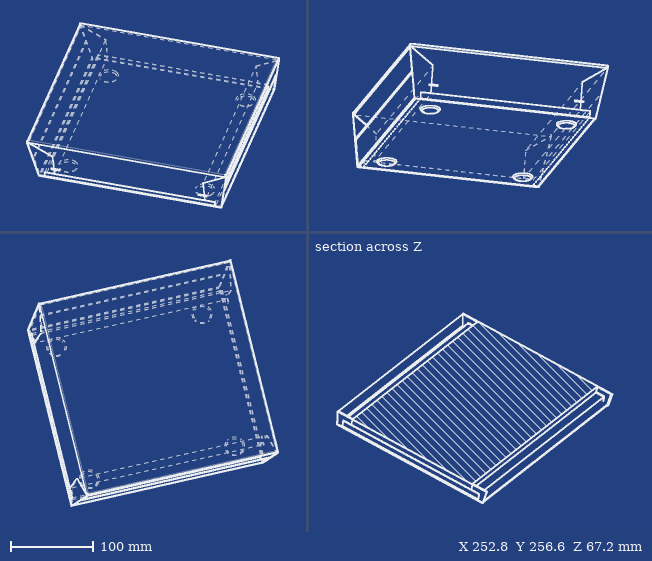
import cadquery as cq
import math


CASE_WIDTH = 252.8
CASE_HEIGHT = 65.2
CASE_LENGTH = 256.6
REAR_BOTTOM_Y = CASE_LENGTH / 2
LEAN_ANGLE = math.radians(14.7)
END_EDGE_RADIUS = 2.0

BOTTOM_HALF_WIDTH = 115.5
TIP_HALF_WIDTH = CASE_WIDTH / 2
TIP_Z = 63.6
TOP_CORNER_HALF_WIDTH = 123.7
PLATE_THICKNESS = 1.0
BASE_COVERING = PLATE_THICKNESS / 2

CORE_HALF_WIDTH = 95.2
OVERHANG_Z = 41.8
OVERHANG_ANGLE = math.radians(33.5)
LID_EDGE_RADIUS = 2.0

FLOOR_THICKNESS = 1.0
WALL_THICKNESS = 1.0
RIM_Z = 32.5
RIM_DROP = 1.0
BEVEL_WIDTH = 1.5
BEVEL_HEIGHT = 1.0
BASE_HALF_WIDTH = 107.8
BASE_HEIGHT = 7.5
FOOT_BOTTOM_RADIUS = 10.3
FOOT_HEIGHT = 2.0
FOOT_TAPER = 40.0
FOOT_X = 86.7
FOOT_SPACING_Y = 182.2

SLOT_X = 93.0
SLOT_Z = 18.2
SLOT_LENGTH = 10.8
SLOT_HEIGHT = 1.3
SLOT_DEPTH = BASE_COVERING

LEAN = math.tan(LEAN_ANGLE)
FRONT_EDGE_LOSS = END_EDGE_RADIUS * (1 / math.tan((math.pi / 2 - LEAN_ANGLE) / 2) - 1)
CASE_DEPTH = CASE_LENGTH - LEAN * CASE_HEIGHT + FRONT_EDGE_LOSS
SIDE_SLOPE = (TIP_HALF_WIDTH - BOTTOM_HALF_WIDTH) / TIP_Z
BASE_TOP_Z = FLOOR_THICKNESS + BASE_HEIGHT
FRONT_BOTTOM_Y = REAR_BOTTOM_Y - CASE_DEPTH
MIDDLE_Y = (FRONT_BOTTOM_Y + REAR_BOTTOM_Y) / 2

SHARP_EDGE_X = CORE_HALF_WIDTH + (CASE_HEIGHT - OVERHANG_Z) / math.tan(OVERHANG_ANGLE)
EDGE_SETBACK = LID_EDGE_RADIUS / math.tan(OVERHANG_ANGLE / 2)
LID_TOP_X = SHARP_EDGE_X - EDGE_SETBACK
LID_UNDER_X = SHARP_EDGE_X - EDGE_SETBACK * math.cos(OVERHANG_ANGLE)
LID_UNDER_Z = CASE_HEIGHT - EDGE_SETBACK * math.sin(OVERHANG_ANGLE)

REACH = 2 * CASE_DEPTH


def leaning_block(inset=0.0):
    """The leaning side outline over the full width, both ends moved inward by `inset` along Y."""
    front = FRONT_BOTTOM_Y + inset
    rear = REAR_BOTTOM_Y - inset
    shift = LEAN * CASE_HEIGHT
    outline = [(front, 0), (rear, 0), (rear - shift, CASE_HEIGHT), (front - shift, CASE_HEIGHT)]
    return cq.Workplane("YZ").polyline(outline).close().extrude(REACH, both=True)


def mirrored_prism(right_points):
    """An XZ outline, given by its right half from bottom to top, mirrored and extruded along Y."""
    left_points = [(-x, z) for x, z in reversed(right_points)]
    return cq.Workplane("XZ").polyline(right_points + left_points).close().extrude(REACH, both=True)


def outer_x(z):
    """Half width of the case at height z."""
    return BOTTOM_HALF_WIDTH + SIDE_SLOPE * z


def make_core():
    outline = [
        (CORE_HALF_WIDTH, BASE_TOP_Z),
        (CORE_HALF_WIDTH, OVERHANG_Z),
        (LID_UNDER_X, LID_UNDER_Z),
    ]
    return mirrored_prism(outline).intersect(leaning_block(PLATE_THICKNESS))


def make_base():
    outline = [(BASE_HALF_WIDTH, FLOOR_THICKNESS), (BASE_HALF_WIDTH, BASE_TOP_Z)]
    return mirrored_prism(outline).intersect(leaning_block(BASE_COVERING))


def make_feet():
    return (
        cq.Workplane("XY", origin=(0, MIDDLE_Y, -FOOT_HEIGHT))
        .rect(2 * FOOT_X, FOOT_SPACING_Y, forConstruction=True)
        .vertices()
        .circle(FOOT_BOTTOM_RADIUS)
        .extrude(FOOT_HEIGHT, taper=-FOOT_TAPER)
    )


def make_end_walls(core):
    """Walls lining the end plates up to the lid, open where the core's ends fill them."""
    outline = [
        (BOTTOM_HALF_WIDTH, 0),
        (outer_x(LID_UNDER_Z), LID_UNDER_Z),
    ]
    return mirrored_prism(outline).cut(leaning_block(PLATE_THICKNESS + WALL_THICKNESS)).cut(core)


def make_tray(core):
    """Floor, thin leaning side walls and end walls between the end plates, with the base and the feet."""
    bevel_x = outer_x(BEVEL_HEIGHT)
    rim_x = outer_x(RIM_Z)
    outline = [
        (bevel_x - BEVEL_WIDTH, 0),
        (bevel_x, BEVEL_HEIGHT),
        (rim_x, RIM_Z),
        (rim_x - WALL_THICKNESS, RIM_Z - RIM_DROP),
        (outer_x(FLOOR_THICKNESS) - WALL_THICKNESS, FLOOR_THICKNESS),
    ]
    shell = mirrored_prism(outline).union(make_end_walls(core)).intersect(leaning_block(PLATE_THICKNESS))
    return shell.union(make_base()).union(make_feet())


def make_lid():
    """Sheet above the core with rounded side edges, spanning the case from front to rear."""
    arc_middle_x = LID_TOP_X + LID_EDGE_RADIUS * math.cos(OVERHANG_ANGLE / 2)
    arc_middle_z = CASE_HEIGHT - LID_EDGE_RADIUS + LID_EDGE_RADIUS * math.sin(OVERHANG_ANGLE / 2)
    return (
        cq.Workplane("XZ")
        .moveTo(-LID_UNDER_X, LID_UNDER_Z)
        .lineTo(LID_UNDER_X, LID_UNDER_Z)
        .threePointArc((arc_middle_x, arc_middle_z), (LID_TOP_X, CASE_HEIGHT))
        .lineTo(-LID_TOP_X, CASE_HEIGHT)
        .threePointArc((-arc_middle_x, arc_middle_z), (-LID_UNDER_X, LID_UNDER_Z))
        .close()
        .extrude(REACH, both=True)
    )


def make_end_plates():
    outline = [
        (BOTTOM_HALF_WIDTH, 0),
        (TIP_HALF_WIDTH, TIP_Z),
        (TOP_CORNER_HALF_WIDTH, CASE_HEIGHT),
    ]
    return mirrored_prism(outline).cut(leaning_block(PLATE_THICKNESS))


def make_slots():
    """Two blind slots that follow the lean of the front face."""
    front_y = FRONT_BOTTOM_Y - LEAN * SLOT_Z
    return (
        cq.Workplane("XY")
        .pushPoints([(-SLOT_X, front_y), (SLOT_X, front_y)])
        .box(SLOT_LENGTH, CASE_DEPTH, SLOT_HEIGHT, combine=False)
        .translate((0, 0, SLOT_Z))
        .cut(leaning_block(SLOT_DEPTH))
    )


def make_cover(core, tray):
    """Lid and end plates in one piece, with pockets for the ends of the core and of the base."""
    envelope = leaning_block().faces(">Z").edges("|X").fillet(END_EDGE_RADIUS)
    cover = make_lid().union(make_end_plates()).intersect(envelope)
    return cover.cut(make_slots()).cut(core).cut(tray)


core = make_core()
tray = make_tray(core)
cover = make_cover(core, tray)

result = cq.Compound.makeCompound([cover.val(), core.val(), tray.val()])